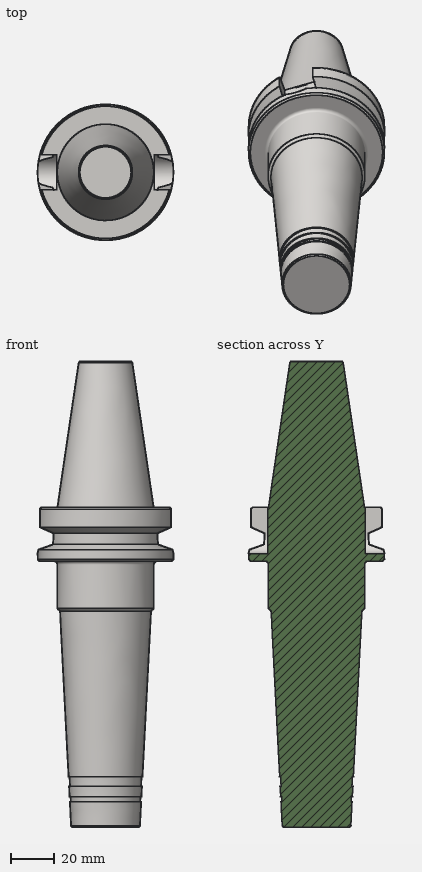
import cadquery as cq

total_height = 215.5
flange_top = 148.0
flange_bottom = 123.0
collar_bottom = 101.2

taper_base_diameter = 44.5
taper_ratio = 7 / 24
taper_base_radius = taper_base_diameter / 2
taper_tip_radius = taper_base_radius - (total_height - flange_top) * taper_ratio / 2
taper_tip_chamfer = 0.6

flange_radius = 31.5
flange_chamfer = 0.9
groove_floor_radius = 25.5
groove_upper_edge = 138.7
groove_floor_top = 136.0
groove_floor_bottom = 130.7
groove_lower_edge = 128.4

slot_width = 16.2
slot_depth = 21.3
slot_floor_offset = 22.6

collar_radius = 22.5
collar_fillet = 1.5
collar_chamfer = 1.3
nose_top_radius = 21.1
nose_tip_radius = 16.0
nose_tip_chamfer = 0.6
nose_top = collar_bottom - collar_chamfer

ring_grooves = [(11.8, 14.2), (19.0, 23.5)]
ring_groove_depth = 0.5


def nose_radius(height):
    """Radius of the nose cone at the given height."""
    return nose_tip_radius + (nose_top_radius - nose_tip_radius) * height / nose_top


def make_body():
    """Revolve the half profile; the radius runs along X and the tool axis along Z."""
    profile = (
        cq.Workplane("XZ")
        .lineTo(nose_tip_radius - nose_tip_chamfer, 0)
        .lineTo(nose_radius(nose_tip_chamfer), nose_tip_chamfer)
    )
    for bottom, top in ring_grooves:
        profile = (
            profile.lineTo(nose_radius(bottom), bottom)
            .lineTo(nose_radius(bottom) - ring_groove_depth, bottom)
            .lineTo(nose_radius(top) - ring_groove_depth, top)
            .lineTo(nose_radius(top), top)
        )
    profile = (
        profile.lineTo(nose_top_radius, nose_top)
        .lineTo(collar_radius, collar_bottom)
        .lineTo(collar_radius, flange_bottom - collar_fillet)
        .radiusArc((collar_radius + collar_fillet, flange_bottom), collar_fillet)
        .lineTo(flange_radius - flange_chamfer, flange_bottom)
        .lineTo(flange_radius, flange_bottom + flange_chamfer)
        .lineTo(flange_radius, groove_lower_edge)
        .lineTo(groove_floor_radius, groove_floor_bottom)
        .lineTo(groove_floor_radius, groove_floor_top)
        .lineTo(flange_radius, groove_upper_edge)
        .lineTo(flange_radius, flange_top - flange_chamfer)
        .lineTo(flange_radius - flange_chamfer, flange_top)
        .lineTo(taper_base_radius, flange_top)
        .lineTo(taper_tip_radius, total_height - taper_tip_chamfer)
        .lineTo(taper_tip_radius - taper_tip_chamfer, total_height)
        .lineTo(0, total_height)
        .close()
    )
    return profile.revolve(360, (0, 0, 0), (0, 1, 0))


def make_drive_slot():
    """Cutter for the +X drive slot."""
    half_width = slot_width / 2
    slot_bottom = flange_top - slot_depth
    arc_height = slot_bottom + half_width
    return (
        cq.Workplane("YZ", origin=(slot_floor_offset, 0, 0))
        .moveTo(-half_width, flange_top)
        .lineTo(-half_width, arc_height)
        .threePointArc((0, slot_bottom), (half_width, arc_height))
        .lineTo(half_width, flange_top)
        .close()
        .extrude(flange_radius)
    )


result = make_body()
for angle in (0, 180):
    result = result.cut(make_drive_slot().rotate((0, 0, 0), (0, 0, 1), angle))